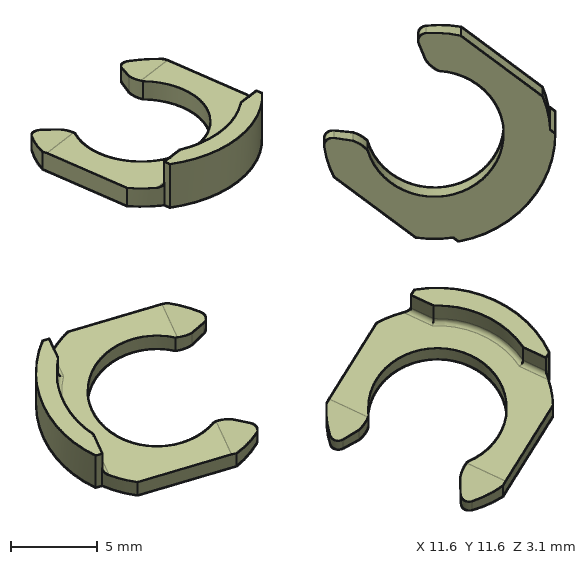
import cadquery as cq
import math

width = 11.6
total_height = 3.1
plate_thickness = 1.3
half_width = width / 2

bore_radius = 4.0
plate_radius = 6.69
prong_radius = 6.43
wall_outer_radius = 7.0
wall_inner_radius = 5.8

wall_front_x = 5.0
wall_half_width = 4.43
root_fillet = 0.3

flank_start = (-3.38, 3.32)
flank_angle = 30.0
lip_mid = (-2.75, 3.21)
lip_end_x = -2.33
tip_round = 0.5
taper_start_x = -2.45
taper_angle = 7.5


def x_on_circle(radius, y):
    """Positive X where a circle about the origin reaches the given Y."""
    return math.sqrt(radius**2 - y**2)


def mirrored(point):
    """The matching point on the -Y side."""
    return (point[0], -point[1])


def sharp_tip():
    """Point where the straight flank of the +Y prong meets the prong arc."""
    dx = -math.cos(math.radians(flank_angle))
    dy = math.sin(math.radians(flank_angle))
    along = flank_start[0] * dx + flank_start[1] * dy
    start_squared = flank_start[0] ** 2 + flank_start[1] ** 2
    length = -along + math.sqrt(along**2 - start_squared + prong_radius**2)
    return (flank_start[0] + length * dx, flank_start[1] + length * dy)


def make_open_ring():
    """Flat open ring with rounded prong tips, symmetric about the XZ plane."""
    tip = sharp_tip()
    prong_corner = (-x_on_circle(prong_radius, half_width), half_width)
    plate_corner = (x_on_circle(plate_radius, half_width), half_width)
    lip_end = (lip_end_x, x_on_circle(bore_radius, lip_end_x))

    tip_direction = math.atan2(tip[1], tip[0])
    corner_direction = math.atan2(prong_corner[1], prong_corner[0])
    prong_mid_direction = (tip_direction + corner_direction) / 2
    prong_mid = (
        prong_radius * math.cos(prong_mid_direction),
        prong_radius * math.sin(prong_mid_direction),
    )

    ring = (
        cq.Workplane("XY")
        .moveTo(*mirrored(plate_corner))
        .threePointArc((plate_radius, 0), plate_corner)
        .lineTo(*prong_corner)
        .threePointArc(prong_mid, tip)
        .lineTo(*flank_start)
        .threePointArc(lip_mid, lip_end)
        .threePointArc((bore_radius, 0), mirrored(lip_end))
        .threePointArc(mirrored(lip_mid), mirrored(flank_start))
        .lineTo(*mirrored(tip))
        .threePointArc(mirrored(prong_mid), mirrored(prong_corner))
        .close()
        .extrude(plate_thickness)
    )
    return ring.edges("|Z").edges("<X").fillet(tip_round)


def make_plate():
    """Full open ring with the tops of both prongs sloping down to their tips."""
    run = width / 2
    drop = run * math.tan(math.radians(taper_angle))
    taper = (
        cq.Workplane("XZ")
        .moveTo(taper_start_x, plate_thickness)
        .lineTo(taper_start_x - run, plate_thickness)
        .lineTo(taper_start_x - run, plate_thickness - drop)
        .close()
        .extrude(half_width, both=True)
    )
    return make_open_ring().cut(taper)


def make_wall():
    """Disc segment behind a flat front face, hollowed by a concentric arc."""
    block = cq.Workplane("XY").box(
        width, 2 * wall_half_width, total_height, centered=(False, True, False)
    )
    ring = (
        cq.Workplane("XY")
        .circle(wall_outer_radius)
        .circle(wall_inner_radius)
        .extrude(total_height)
    )
    return ring.intersect(block.translate((wall_front_x, 0, 0)))


def fillet_profile(face_x):
    """XZ section of a concave fillet against a face at face_x, with the solid behind it."""
    top = plate_thickness + root_fillet
    arc_offset = root_fillet * math.sqrt(0.5)
    return (
        cq.Workplane("XZ")
        .moveTo(face_x - root_fillet, plate_thickness)
        .threePointArc((face_x - root_fillet + arc_offset, top - arc_offset), (face_x, top))
        .lineTo(width, top)
        .lineTo(width, 0)
        .lineTo(face_x - root_fillet, 0)
        .close()
    )


def make_root_fillet():
    """Fillet along the wall front, mitred at the hollow and trimmed to the plate edge."""
    straight = fillet_profile(wall_front_x).extrude(half_width, both=True)
    curved = fillet_profile(wall_inner_radius).revolve(360, (0, 0, 0), (0, 1, 0))
    plate_disc = cq.Workplane("XY").circle(plate_radius).extrude(total_height)
    return plate_disc.intersect(curved).intersect(straight)


result = make_plate().union(make_root_fillet()).union(make_wall())